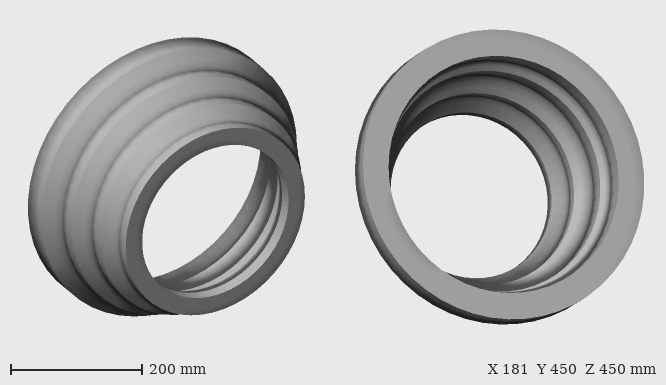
import cadquery as cq

flange_length = 40.0
band_length = 24.5
length = 181.0

outer_radii = [225.0, 200.0, 177.5, 157.5]
bore_radii = [184.0, 171.5, 149.0, 128.5]

band_count = 2 * (len(outer_radii) - 1)
outer_stations = [flange_length + i * band_length for i in range(band_count)]

first_bore_cone_end = flange_length + bore_radii[0] - bore_radii[1]
bore_stations = [flange_length, first_bore_cone_end] + outer_stations[2:]


def stepped_profile(radii, stations):
    """Points (x, radius) of cylinders joined by cones, from x = 0 to the far end."""
    step_ends = [0.0] + stations + [length]
    return [(x, radii[i // 2]) for i, x in enumerate(step_ends)]


outer_profile = stepped_profile(outer_radii, outer_stations)
bore_profile = stepped_profile(bore_radii, bore_stations)
wall_outline = outer_profile + bore_profile[::-1]

result = (
    cq.Workplane("XY")
    .polyline(wall_outline)
    .close()
    .revolve(360, (0, 0, 0), (1, 0, 0))
)